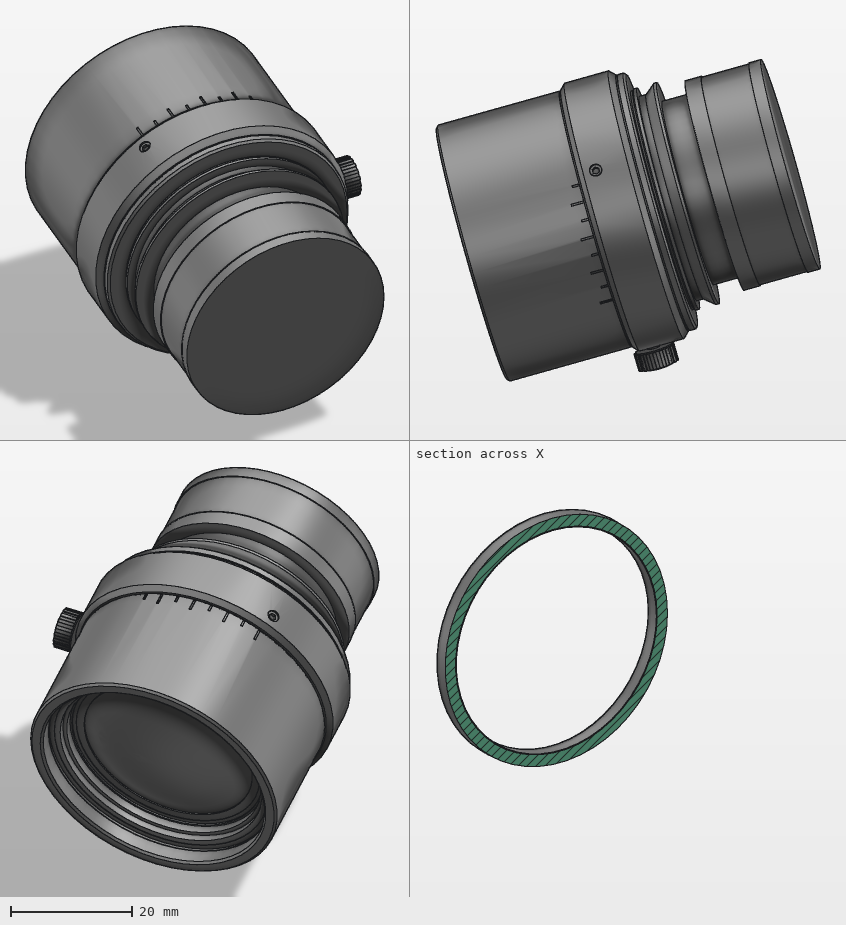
import cadquery as cq
import math


LENGTH = 54.7
BARREL_R = 44.0 / 2
RING_R = 46.0 / 2
KNOB_TOP = 50.0 - RING_R

BARREL_END = 21.2
EDGE_CHAMFER = 0.4
SEAM_WIDTH = 0.3
SEAM_R = BARREL_R - 0.2

RING_START = BARREL_END + SEAM_WIDTH
RING_FACE_R = BARREL_R + 0.15
RING_FULL_START = 22.35
RING_FULL_END = 29.9
RING_END = 30.95
BAND_START = RING_END + SEAM_WIDTH
BAND_END = 32.6

FLANGE_R = 38.0 / 2
FLANGE_START = 32.95
FLANGE_CHAMFER = 0.2
FLANGE_END = 33.7
WAIST_R = 35.1 / 2
WAIST_END = 34.85
CONE_END = 36.6
DOVETAIL_END = 37.1
NECK_R = 31.5 / 2
NECK_END = 41.7
MOUNT_R = 36.0 / 2
MOUNT_BODY_R = MOUNT_R - 0.15
MOUNT_FRONT_END = 44.45
MOUNT_REAR_START = 52.7

BORE_R = 39.5 / 2
BORE_CHAMFER = 0.4
RELIEF_START = 2.85
RELIEF_R = BORE_R + 0.1
FILTER_SEAT = 3.4
SEAT_RING_R = FLANGE_R
SEAT_STEP = 0.1
SECOND_R = 36.0 / 2
SECOND_SEAT = 4.7
THIRD_R = 34.6 / 2
THIRD_SEAT = 6.1
FOURTH_R = 34.0 / 2
GLASS_SEAT = 6.55
RETAINER_R = 32.7 / 2
GLASS_R = 30.0 / 2
GLASS_RIM = GLASS_SEAT + 0.3
GLASS_SAG = 3.85

SCREW_X = 24.5
SCREW_R = 2.0 / 2
SCREW_PITCH = 120.0
SET_SCREW_DEPTH = 0.35
SOCKET_ACROSS = 1.1
SOCKET_DEPTH = 0.55

KNOB_R = 6.85 / 2
KNOB_RIM_R = KNOB_R - 0.3
SHANK_ENGAGEMENT = 0.55
KNOB_BASE = 23.4
KNOB_BODY_START = 23.65
KNOB_BODY_END = 26.4
KNURL_COUNT = 18
KNURL_DEPTH = 0.2
KNURL_WIDTH = 0.6

MARK_COUNT = 8
MARK_FIRST = 26.5
MARK_PITCH = 7.8
MARK_WIDTH = 0.35
MARK_DEPTH = 0.1
MARK_SHORT = 1.2
MARK_LONG = 2.15


def lens_body():
    """Revolve the half section (X, radius) about the optical axis."""
    glass_mid_r = GLASS_R / 2
    sphere_r = (GLASS_R**2 + GLASS_SAG**2) / (2 * GLASS_SAG)
    mid_rise = math.sqrt(sphere_r**2 - glass_mid_r**2) - (sphere_r - GLASS_SAG)
    section = (
        cq.Workplane("XY")
        .moveTo(GLASS_RIM - GLASS_SAG, 0)
        .threePointArc((GLASS_RIM - mid_rise, glass_mid_r), (GLASS_RIM, GLASS_R))
        .lineTo(GLASS_SEAT, GLASS_R)
        .lineTo(GLASS_SEAT, RETAINER_R)
        .lineTo(GLASS_SEAT - SEAT_STEP, RETAINER_R)
        .lineTo(GLASS_SEAT - SEAT_STEP, FOURTH_R)
        .lineTo(THIRD_SEAT, FOURTH_R)
        .lineTo(THIRD_SEAT, THIRD_R)
        .lineTo(SECOND_SEAT, THIRD_R)
        .lineTo(SECOND_SEAT, SECOND_R)
        .lineTo(FILTER_SEAT + SEAT_STEP, SECOND_R)
        .lineTo(FILTER_SEAT + SEAT_STEP, SEAT_RING_R)
        .lineTo(FILTER_SEAT, SEAT_RING_R)
        .lineTo(FILTER_SEAT, RELIEF_R)
        .lineTo(RELIEF_START, RELIEF_R)
        .lineTo(RELIEF_START, BORE_R)
        .lineTo(BORE_CHAMFER, BORE_R)
        .lineTo(0, BORE_R + BORE_CHAMFER)
        .lineTo(0, BARREL_R - EDGE_CHAMFER)
        .lineTo(EDGE_CHAMFER, BARREL_R)
        .lineTo(BARREL_END, BARREL_R)
        .lineTo(BARREL_END, SEAM_R)
        .lineTo(RING_START, SEAM_R)
        .lineTo(RING_START, RING_FACE_R)
        .lineTo(RING_FULL_START, RING_R)
        .lineTo(RING_FULL_END, RING_R)
        .lineTo(RING_END, BARREL_R)
        .lineTo(RING_END, SEAM_R)
        .lineTo(BAND_START, SEAM_R)
        .lineTo(BAND_START, BARREL_R)
        .lineTo(BAND_END - EDGE_CHAMFER, BARREL_R)
        .lineTo(BAND_END, BARREL_R - EDGE_CHAMFER)
        .lineTo(BAND_END, FLANGE_R - FLANGE_CHAMFER)
        .lineTo(FLANGE_START, FLANGE_R - FLANGE_CHAMFER)
        .lineTo(FLANGE_START + FLANGE_CHAMFER, FLANGE_R)
        .lineTo(FLANGE_END, FLANGE_R)
        .lineTo(FLANGE_END, WAIST_R)
        .lineTo(WAIST_END, WAIST_R)
        .lineTo(CONE_END, FLANGE_R)
        .lineTo(DOVETAIL_END, FLANGE_R)
        .lineTo(DOVETAIL_END, NECK_R)
        .lineTo(NECK_END, NECK_R)
        .lineTo(NECK_END, MOUNT_R)
        .lineTo(MOUNT_FRONT_END, MOUNT_R)
        .lineTo(MOUNT_FRONT_END, MOUNT_BODY_R)
        .lineTo(MOUNT_REAR_START, MOUNT_BODY_R)
        .lineTo(MOUNT_REAR_START, MOUNT_R)
        .lineTo(LENGTH, MOUNT_R)
        .lineTo(LENGTH, 0)
        .close()
    )
    return section.revolve(360, (0, 0, 0), (1, 0, 0))


def knob():
    """Knurled thumb screw with a domed crown, standing on the ring toward +Y."""
    shank_start = RING_R - SHANK_ENGAGEMENT
    rim_mid_r = KNOB_RIM_R / 2
    crown_rise = KNOB_TOP - KNOB_BODY_END
    crown_r = (KNOB_RIM_R**2 + crown_rise**2) / (2 * crown_rise)
    crown_mid = KNOB_TOP - crown_r + math.sqrt(crown_r**2 - rim_mid_r**2)
    turned = (
        cq.Workplane("XY")
        .moveTo(0, shank_start)
        .lineTo(SCREW_R, shank_start)
        .lineTo(SCREW_R, KNOB_BASE)
        .lineTo(KNOB_RIM_R, KNOB_BASE)
        .lineTo(KNOB_RIM_R, KNOB_BODY_START)
        .lineTo(KNOB_R, KNOB_BODY_START)
        .lineTo(KNOB_R, KNOB_BODY_END)
        .lineTo(KNOB_RIM_R, KNOB_BODY_END)
        .threePointArc((rim_mid_r, crown_mid), (0, KNOB_TOP))
        .close()
        .revolve(360, (0, 0, 0), (0, 1, 0))
    )
    body_height = KNOB_BODY_END - KNOB_BODY_START
    knurls = (
        cq.Workplane("XZ", origin=(0, KNOB_BODY_START, 0))
        .polarArray(KNOB_R, 0, 360, KNURL_COUNT)
        .rect(2 * KNURL_DEPTH, KNURL_WIDTH)
        .extrude(-body_height)
    )
    return turned.cut(knurls).translate((SCREW_X, 0, 0))


def set_screw_recess(angle):
    """Recess of a set screw with a hex socket, turned by angle from +Y about the axis."""
    head = RING_R - SET_SCREW_DEPTH
    hole = (
        cq.Workplane("XZ", origin=(SCREW_X, head, 0))
        .circle(SCREW_R)
        .extrude(-2 * SET_SCREW_DEPTH)
    )
    socket = (
        cq.Workplane("XZ", origin=(SCREW_X, head, 0))
        .polygon(6, SOCKET_ACROSS, circumscribed=True)
        .extrude(SOCKET_DEPTH)
    )
    return hole.union(socket).rotate((0, 0, 0), (1, 0, 0), angle)


def scale_marks(start_angle):
    """Engraved marks of one aperture scale, alternately short and long."""
    marks = cq.Workplane("XY")
    for i in range(MARK_COUNT):
        length = MARK_LONG if i % 2 else MARK_SHORT
        mark = (
            cq.Workplane("XY")
            .box(length, MARK_WIDTH, 2 * MARK_DEPTH)
            .translate((BARREL_END - length / 2, 0, BARREL_R))
            .rotate((0, 0, 0), (1, 0, 0), start_angle + i * MARK_PITCH)
        )
        marks = marks.add(mark)
    return marks.combine()


result = lens_body()
for turn in (1, 2):
    result = result.cut(set_screw_recess(turn * SCREW_PITCH))
for side in (0, 180):
    result = result.cut(scale_marks(side - MARK_FIRST))
result = result.union(knob())